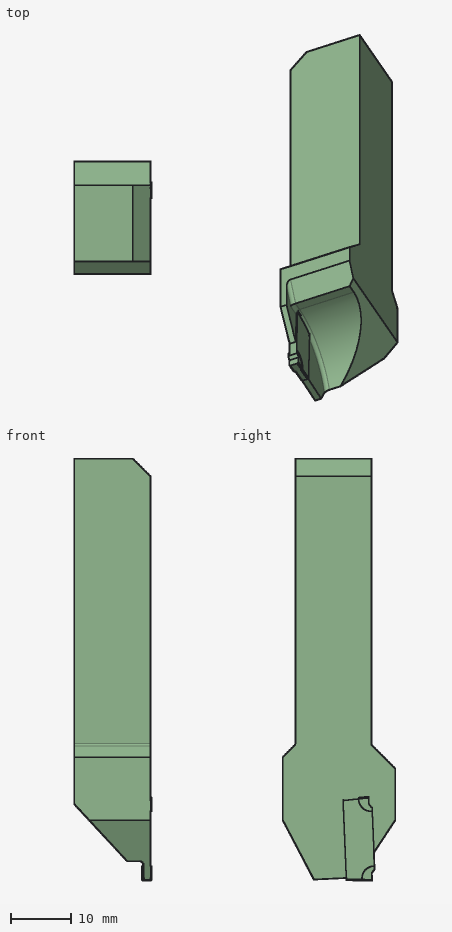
import cadquery as cq
import math

LENGTH = 69.85
WIDTH = 12.65
SHANK_Y0 = 2.1
SHANK_Y1 = SHANK_Y0 + WIDTH
END_CHAMFER = 2.9

HEAD_Y1 = 18.65
FRONT_FLARE_TOP_Z = 22.55
FRONT_FLARE_BOTTOM_Z = 20.5
REAR_FLARE_TOP_Z = 22.5
REAR_FLARE_BOTTOM_Z = 18.6
TAPER_Z = 10.05
BLADE_Y0 = 5.2
BLADE_BOTTOM_FRONT_Z = 0.2
BLADE_BOTTOM_REAR_Z = 0.55
REAR_TAPER_Y = 15.15
REAR_TAPER_Z = 4.75

BEVEL_TOP_Z = 12.7
BEVEL_SLOPE = 1.08

BLADE_X0 = 11.5
RELIEF_CENTRE_Y = 15.15
RELIEF_CENTRE_Z = -0.4
RELIEF_RADIUS = 12.15
RELIEF_TOP_Z = RELIEF_CENTRE_Z + RELIEF_RADIUS
RELIEF_CORNER_Y = 16.7
RELIEF_REAR_Z = 15.5
RELIEF_FILLET = 0.7

INSERT_TILT = 2.4
INSERT_CENTRE_Y = 12.65
INSERT_X0 = 11.3
INSERT_LENGTH = 14.0
INSERT_DEPTH = 4.75
NOTCH_DEPTH = 0.5
NOTCH_LENGTH = 1.3
NOTCH_SLOPE_LENGTH = 0.55
END_CLEARANCE = 0.3
END_BREAK = 0.2
PAD_X0 = 11.2
PAD_X1 = 12.85
PAD_RADIUS = 2.0
PAD_INSET = 0.4
PAD_SETBACK = 0.15

FLARE_FILLET = 0.55

TILT = math.radians(INSERT_TILT)
CUTTING_EDGE_Y = INSERT_DEPTH / 2 - NOTCH_DEPTH
INSERT_CENTRE_Z = INSERT_LENGTH / 2 * math.cos(TILT) - CUTTING_EDGE_Y * math.sin(TILT)


def extrude_along_x(outline, x_start, x_end):
    """Extrude a closed YZ outline from x_start to x_end."""
    return outline.extrude(x_end - x_start).translate((x_start, 0, 0))


def make_blank():
    """Shank and head as one YZ outline of full width."""
    taper_slope = (TAPER_Z - REAR_TAPER_Z) / (HEAD_Y1 - REAR_TAPER_Y)
    rear_corner_y = HEAD_Y1 - (TAPER_Z - BLADE_BOTTOM_REAR_Z) / taper_slope
    outline = (
        cq.Workplane("YZ")
        .moveTo(SHANK_Y0, LENGTH)
        .lineTo(SHANK_Y0, FRONT_FLARE_TOP_Z)
        .lineTo(0, FRONT_FLARE_BOTTOM_Z)
        .lineTo(0, TAPER_Z)
        .lineTo(BLADE_Y0, BLADE_BOTTOM_FRONT_Z)
        .lineTo(rear_corner_y, BLADE_BOTTOM_REAR_Z)
        .lineTo(HEAD_Y1, TAPER_Z)
        .lineTo(HEAD_Y1, REAR_FLARE_BOTTOM_Z)
        .lineTo(SHANK_Y1, REAR_FLARE_TOP_Z)
        .lineTo(SHANK_Y1, LENGTH)
        .close()
    )
    blank = extrude_along_x(outline, 0, WIDTH)
    blank = blank.faces(">Z").edges(">X").chamfer(END_CHAMFER)
    front_junction = cq.selectors.NearestToPointSelector((WIDTH / 2, SHANK_Y0, FRONT_FLARE_TOP_Z))
    return blank.edges(front_junction).fillet(FLARE_FILLET)


def make_bevel_cutter():
    """Wedge under the -X side of the head, ending at the blade face."""
    return (
        cq.Workplane("XZ")
        .moveTo(0, BEVEL_TOP_Z)
        .lineTo(BLADE_X0, BEVEL_TOP_Z - BEVEL_SLOPE * BLADE_X0)
        .lineTo(0, BEVEL_TOP_Z - BEVEL_SLOPE * BLADE_X0)
        .close()
        .extrude(-HEAD_Y1)
    )


def make_relief_cutter():
    """Round-topped space beside the blade, with a rounded edge at the blade face."""
    below = -RELIEF_RADIUS
    behind = HEAD_Y1 + RELIEF_RADIUS
    rear_slope = (RELIEF_REAR_Z - RELIEF_TOP_Z) / (HEAD_Y1 - RELIEF_CORNER_Y)
    diagonal = RELIEF_RADIUS * math.sqrt(0.5)
    outline = (
        cq.Workplane("YZ")
        .moveTo(RELIEF_CENTRE_Y - RELIEF_RADIUS, below)
        .lineTo(RELIEF_CENTRE_Y - RELIEF_RADIUS, RELIEF_CENTRE_Z)
        .threePointArc(
            (RELIEF_CENTRE_Y - diagonal, RELIEF_CENTRE_Z + diagonal),
            (RELIEF_CENTRE_Y, RELIEF_TOP_Z),
        )
        .lineTo(RELIEF_CORNER_Y, RELIEF_TOP_Z)
        .lineTo(behind, RELIEF_TOP_Z + rear_slope * (behind - RELIEF_CORNER_Y))
        .lineTo(behind, below)
        .close()
    )
    return extrude_along_x(outline, 0, BLADE_X0).faces(">X").edges().fillet(RELIEF_FILLET)


def make_insert_slab(x_start, x_end):
    """Insert outline, upright about the origin in Y and Z, with broken end edges."""
    half_depth = INSERT_DEPTH / 2
    half_length = INSERT_LENGTH / 2
    notch_z = half_length - NOTCH_LENGTH
    shoulder_z = notch_z - NOTCH_SLOPE_LENGTH
    outline = (
        cq.Workplane("YZ")
        .moveTo(-half_depth, END_CLEARANCE - half_length)
        .lineTo(CUTTING_EDGE_Y, -half_length)
        .lineTo(CUTTING_EDGE_Y, -notch_z)
        .lineTo(half_depth, -shoulder_z)
        .lineTo(half_depth, shoulder_z)
        .lineTo(CUTTING_EDGE_Y, notch_z)
        .lineTo(CUTTING_EDGE_Y, half_length)
        .lineTo(-half_depth, half_length - END_CLEARANCE)
        .close()
    )
    slab = extrude_along_x(outline, x_start, x_end)
    return slab.faces("<Z or >Z").edges("<X or >X").chamfer(END_BREAK)


def make_insert():
    """Cutting insert with a proud pad on both sides of each tip."""
    insert = make_insert_slab(INSERT_X0, WIDTH)
    wide = make_insert_slab(PAD_X0, PAD_X1)
    for end in (-1, 1):
        pad_centre = (INSERT_DEPTH / 2 - PAD_SETBACK, end * (INSERT_LENGTH / 2 - PAD_INSET))
        pad_limit = cq.Workplane("YZ").center(*pad_centre).circle(PAD_RADIUS).extrude(PAD_X1)
        insert = insert.union(wide.intersect(pad_limit))
    insert = insert.rotate((0, 0, 0), (1, 0, 0), INSERT_TILT)
    return insert.translate((0, INSERT_CENTRE_Y, INSERT_CENTRE_Z))


def make_holder(insert):
    """Tool holder with a pocket that matches the insert."""
    return make_blank().cut(make_bevel_cutter()).cut(make_relief_cutter()).cut(insert)


insert = make_insert()
holder = make_holder(insert)

result = cq.Compound.makeCompound([holder.val(), insert.val()])